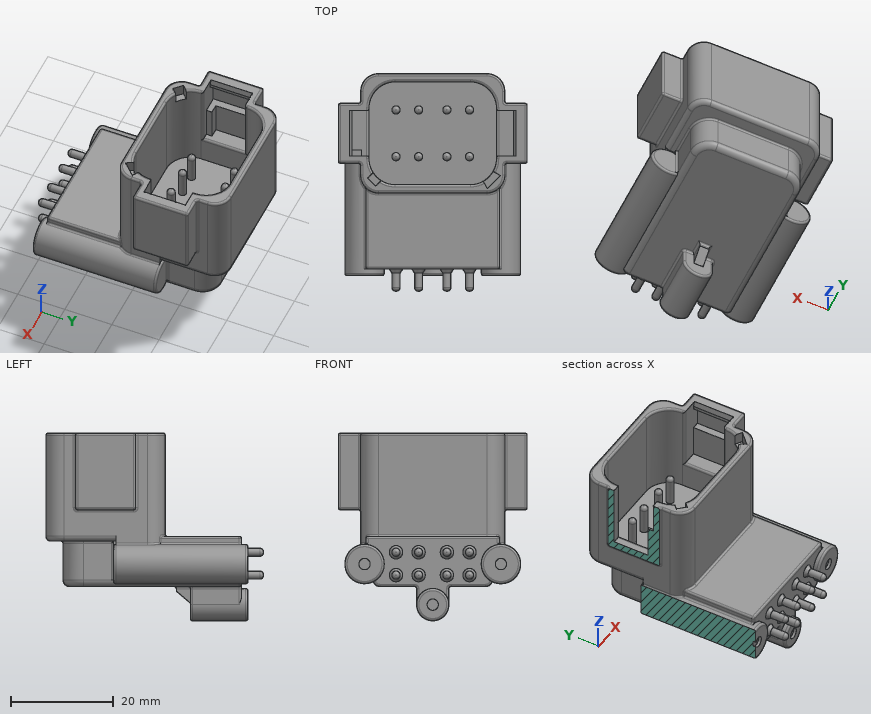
import cadquery as cq
import math


BLEND = 0.45
ROOT_BLEND = 0.4
NEAR = 0.02

SHELL_X = 28.06
SHELL_Y = 23.25
SHELL_CORNER = 3.5
SHELL_DEPTH = 21.05
SHELL_BASE_BLEND = 1.0
CAVITY_X = 24.8
CAVITY_Y = 20.0
CAVITY_CORNER = 5.1
CAVITY_DEPTH = SHELL_DEPTH - 2.0

EAR_SPAN = 36.75
EAR_Y = 11.7
EAR_DEPTH = 14.95
POCKET_Y = 8.8
POCKET_DEPTH = 13.3
POCKET_MOUTH_X = 16.2
POCKET_WALL_X = 15.75
LIP_SLOPE_DEPTH = 0.95
CATCH_TOP = 1.6
CATCH_BOTTOM = 6.45
CATCH_WALL_X = 17.25
KEY_X = 1.85
KEY_Y = 1.2

NOTCH_REACH = 6.5
NOTCH_ROOT = 4.0
NOTCH_DEPTH = 2.35
LEFT_NOTCH_WIDTH = 2.2
LEFT_NOTCH_FLARE = 0.0
RIGHT_NOTCH_WIDTH = 3.55
RIGHT_NOTCH_FLARE = 14.0

FRONT_Y = -26.45
BASE_BACK_Y = 8.3
BASE_X = 23.2
BASE_CORNER = 4.0
BASE_BOTTOM_Z = -29.88
BASE_EDGE = 1.3
PLATE_X = 26.0
PLATE_TOP_Z = -20.1

BOSS_FRONT_Y = -27.7
BOSS_HOLE_RADIUS = 1.1
BOSS_HOLE_DEPTH = 0.6
SIDE_BOSS_X = 13.27
SIDE_BOSS_Z = -25.5
SIDE_BOSS_RADIUS = 3.84
SIDE_BOSS_BACK_Y = -1.55
SKIRT_BACK_Y = SIDE_BOSS_BACK_Y - BLEND
SKIRT_FOOT_Z = (-22, -21.6)
LOWER_BOSS_RADIUS = 3.15
LOWER_BOSS_Z = -36.55 + LOWER_BOSS_RADIUS
LOWER_BOSS_BACK_Y = -16.5
RIB_WIDTH = 2.0
RIB_BACK_Y = -13.75
RIB_HEEL = 0.9
RIB_DROP = 3.25

CONTACT_X = (-7.15, -2.75, 2.75, 7.15)
CONTACT_RADIUS = 0.8
CONTACT_TIP_BLEND = 0.75
CONTACT_EMBED = 1.0
SOCKET_ROW_Y = 4.55
SOCKET_TIP_Z = -12.8
TAIL_ROWS_Z = (-23.2, -27.65)
OVERALL_Y = 42.37
TAIL_TIP_Y = SHELL_Y / 2 - OVERALL_Y
COLLAR_RADIUS = 1.3
COLLAR_LENGTH = 0.75


def block(x_range, y_range, z_range):
    """Axis-aligned box from its limits."""
    return (
        cq.Workplane("XY")
        .box(
            x_range[1] - x_range[0],
            y_range[1] - y_range[0],
            z_range[1] - z_range[0],
            centered=False,
        )
        .translate((x_range[0], y_range[0], z_range[0]))
    )


def span_box(x_limit, y_range, z_range):
    """Selector for edges lying wholly inside a box that is symmetric about X = 0."""
    return cq.selectors.BoxSelector(
        (-x_limit - NEAR, y_range[0] - NEAR, z_range[0] - NEAR),
        (x_limit + NEAR, y_range[1] + NEAR, z_range[1] + NEAR),
        boundingbox=True,
    )


def rod(x, z, radius, front_y, back_y):
    """Cylinder along Y between two Y positions."""
    return (
        cq.Workplane("XZ", origin=(x, back_y, z))
        .circle(radius)
        .extrude(back_y - front_y)
    )


def rounded_prism(size_x, size_y, corner, depth):
    """Rounded rectangle hanging down from the rim plane."""
    return cq.Workplane("XY").rect(size_x, size_y).extrude(-depth).edges("|Z").fillet(corner)


def shell_body():
    """Outer socket shell with its two ears, still solid inside."""
    shell = rounded_prism(SHELL_X, SHELL_Y, SHELL_CORNER, SHELL_DEPTH)
    shell = shell.faces("<Z").edges().fillet(SHELL_BASE_BLEND)
    ears = block((-EAR_SPAN / 2, EAR_SPAN / 2), (-EAR_Y / 2, EAR_Y / 2), (-EAR_DEPTH, 0))
    ears = ears.edges("(<X or >X or <Z) and (not >Z)").fillet(BLEND)
    shell = shell.union(ears)
    for side in (-1, 1):
        root = cq.selectors.BoxSelector(
            (side * SHELL_X / 2 - NEAR, -EAR_Y / 2 - NEAR, -EAR_DEPTH - NEAR),
            (side * SHELL_X / 2 + NEAR, EAR_Y / 2 + NEAR, NEAR),
            boundingbox=True,
        )
        shell = shell.edges(root).fillet(BLEND)
    return shell.faces(">Z").edges().fillet(BLEND)


def socket_cavity():
    """Straight-walled space inside the shell."""
    return rounded_prism(CAVITY_X, CAVITY_Y, CAVITY_CORNER, CAVITY_DEPTH)


def ear_pocket(side):
    """Latch pocket in one ear: sloped lip, undercut catch window and floor."""
    profile = [
        (0, 0),
        (POCKET_MOUTH_X, 0),
        (POCKET_WALL_X, -LIP_SLOPE_DEPTH),
        (POCKET_WALL_X, -CATCH_TOP),
        (CATCH_WALL_X, -CATCH_TOP),
        (CATCH_WALL_X, -CATCH_BOTTOM),
        (POCKET_WALL_X, -CATCH_BOTTOM),
        (POCKET_WALL_X, -POCKET_DEPTH),
        (0, -POCKET_DEPTH),
    ]
    return (
        cq.Workplane("XZ", origin=(0, POCKET_Y / 2, 0))
        .polyline([(side * x, z) for x, z in profile])
        .close()
        .extrude(POCKET_Y)
    )


def pocket_key():
    """Small key in the front corner of the left ear pocket."""
    return block(
        (-POCKET_WALL_X, -POCKET_WALL_X + KEY_X),
        (-POCKET_Y / 2, -POCKET_Y / 2 + KEY_Y),
        (-POCKET_DEPTH, -CATCH_BOTTOM),
    )


def corner_notch(side, width, flare_angle):
    """Diagonal notch through the inside of a front rim corner, widest at its outer wall."""
    narrowing = (NOTCH_REACH - NOTCH_ROOT) * math.tan(math.radians(flare_angle))
    outer_half = width / 2
    inner_half = outer_half - narrowing
    notch = (
        cq.Workplane("XY")
        .polyline(
            [
                (NOTCH_ROOT, -inner_half),
                (NOTCH_REACH, -outer_half),
                (NOTCH_REACH, outer_half),
                (NOTCH_ROOT, inner_half),
            ]
        )
        .close()
        .extrude(-NOTCH_DEPTH)
    )
    heading = -45 if side > 0 else -135
    arc_centre = (side * (CAVITY_X / 2 - CAVITY_CORNER), CAVITY_CORNER - CAVITY_Y / 2, 0)
    return notch.rotate((0, 0, 0), (0, 0, 1), heading).translate(arc_centre)


def base_block():
    """Lower block with rounded rear corners, the wider plate on top and the web below."""
    base = block((-BASE_X / 2, BASE_X / 2), (FRONT_Y, BASE_BACK_Y), (BASE_BOTTOM_Z, PLATE_TOP_Z))
    base = base.edges("|Z and >Y").fillet(BASE_CORNER)
    base = base.edges("<Z and (not <Y)").fillet(BASE_EDGE)
    plate = block(
        (-PLATE_X / 2, PLATE_X / 2),
        (FRONT_Y, SIDE_BOSS_BACK_Y - BLEND),
        (SIDE_BOSS_Z, PLATE_TOP_Z),
    )
    web = block(
        (-LOWER_BOSS_RADIUS, LOWER_BOSS_RADIUS),
        (FRONT_Y, LOWER_BOSS_BACK_Y),
        (LOWER_BOSS_Z, BASE_BOTTOM_Z + BLEND),
    )
    web = web.edges("|Z and >Y").fillet(BLEND)
    base = base.union(plate).union(web).union(boss_rib())
    web_root = span_box(
        LOWER_BOSS_RADIUS,
        (FRONT_Y, RIB_BACK_Y),
        (BASE_BOTTOM_Z, BASE_BOTTOM_Z),
    )
    base = base.edges(web_root).fillet(BLEND)
    return base.faces("<Y").edges("(<Y) and (not <Z)").fillet(BLEND)


def side_boss_core(side):
    """Part of a side boss behind the front face, with its rear end rounded."""
    core = rod(side * SIDE_BOSS_X, SIDE_BOSS_Z, SIDE_BOSS_RADIUS, FRONT_Y, SIDE_BOSS_BACK_Y)
    return core.faces(">Y").edges().fillet(BLEND)


def side_boss(side):
    """Full-length side boss with both ends rounded."""
    boss = rod(side * SIDE_BOSS_X, SIDE_BOSS_Z, SIDE_BOSS_RADIUS, BOSS_FRONT_Y, SIDE_BOSS_BACK_Y)
    return boss.edges("%CIRCLE").fillet(BLEND)


def boss_cove(side):
    """Concave blend between the rear end of a side boss and the side of the base block."""
    cove = (
        cq.Workplane("XY", origin=(side * BASE_X / 2, SIDE_BOSS_BACK_Y, BASE_BOTTOM_Z + BASE_EDGE))
        .moveTo(0, BLEND)
        .radiusArc((side * BLEND, 0), -side * BLEND)
        .lineTo(side * BLEND, -BLEND)
        .lineTo(-side * BLEND, -BLEND)
        .lineTo(-side * BLEND, BLEND)
        .close()
        .extrude(-SHELL_DEPTH - BASE_BOTTOM_Z - BASE_EDGE)
    )
    return cove


def lower_boss():
    """Short boss at the foot of the web."""
    boss = rod(0, LOWER_BOSS_Z, LOWER_BOSS_RADIUS, BOSS_FRONT_Y, LOWER_BOSS_BACK_Y)
    return boss.edges("%CIRCLE").fillet(BLEND)


def boss_rib():
    """Triangular brace behind the lower boss web."""
    root_y = LOWER_BOSS_BACK_Y - 2 * BLEND
    return (
        cq.Workplane("YZ", origin=(-RIB_WIDTH / 2, 0, 0))
        .moveTo(root_y, BASE_BOTTOM_Z + BLEND)
        .lineTo(RIB_BACK_Y, BASE_BOTTOM_Z + BLEND)
        .lineTo(RIB_BACK_Y, BASE_BOTTOM_Z - RIB_HEEL)
        .lineTo(LOWER_BOSS_BACK_Y, BASE_BOTTOM_Z - RIB_DROP)
        .lineTo(root_y, BASE_BOTTOM_Z - RIB_DROP)
        .close()
        .extrude(RIB_WIDTH)
    )


def round_roots(body):
    """Round the plate edges and the inner corners between shell, plate, bosses and base."""
    plate_side = PLATE_X / 2
    boss_contact = PLATE_TOP_Z - SIDE_BOSS_RADIUS / 2
    plate_edges = span_box(plate_side, (FRONT_Y + BLEND, -SHELL_Y / 4), (boss_contact, PLATE_TOP_Z))
    plate_front = span_box(
        plate_side, (FRONT_Y + BLEND, FRONT_Y + BLEND), (boss_contact, PLATE_TOP_Z)
    )
    body = body.edges(plate_edges - plate_front).fillet(ROOT_BLEND)

    skirt_foot = span_box(SHELL_X / 2, (SHELL_CORNER - SHELL_Y / 2, SKIRT_BACK_Y), SKIRT_FOOT_Z)
    body = body.edges(skirt_foot).edges("<X or >X").fillet(ROOT_BLEND)

    base_neck = span_box(BASE_X / 2, (SIDE_BOSS_BACK_Y, BASE_BACK_Y), (-SHELL_DEPTH, -SHELL_DEPTH))
    return body.edges(base_neck).fillet(ROOT_BLEND)


def round_mouth(body):
    """Round the cavity rim and the cavity-side edges of the ear pockets."""
    rim = span_box(CAVITY_X / 2, (-CAVITY_Y / 2, CAVITY_Y / 2), (0, 0))
    pocket_edges = span_box(CAVITY_X / 2, (-POCKET_Y / 2, POCKET_Y / 2), (-POCKET_DEPTH, 0))
    return body.edges(rim + pocket_edges).fillet(BLEND)


def shell_skirt():
    """Front part of the shell carried down onto the side bosses."""
    skirt_depth = -SIDE_BOSS_Z - SIDE_BOSS_RADIUS / 2
    skirt = rounded_prism(SHELL_X, SHELL_Y, SHELL_CORNER, skirt_depth)
    keep = block(
        (-SHELL_X / 2, SHELL_X / 2),
        (-SHELL_Y / 2, SKIRT_BACK_Y),
        (-skirt_depth, -SHELL_DEPTH + SHELL_BASE_BLEND),
    )
    return skirt.intersect(keep)


def socket_contact(x, y):
    """Round-tipped pin standing on the cavity floor."""
    pin = (
        cq.Workplane("XY", origin=(x, y, SOCKET_TIP_Z))
        .circle(CONTACT_RADIUS)
        .extrude(-CAVITY_DEPTH - CONTACT_EMBED - SOCKET_TIP_Z)
    )
    return pin.faces(">Z").edges().fillet(CONTACT_TIP_BLEND)


def tail_contact(x, z):
    """Solder tail with a conical collar where it leaves the front face."""
    tail = rod(x, z, CONTACT_RADIUS, TAIL_TIP_Y, FRONT_Y + CONTACT_EMBED)
    tail = tail.faces("<Y").edges().fillet(CONTACT_TIP_BLEND)
    collar = (
        cq.Workplane("XZ", origin=(x, FRONT_Y, z))
        .circle(COLLAR_RADIUS)
        .workplane(offset=COLLAR_LENGTH)
        .circle(CONTACT_RADIUS)
        .loft()
    )
    return tail.union(collar)


body = shell_body().union(shell_skirt()).union(base_block())
for side in (-1, 1):
    body = body.union(side_boss_core(side))
body = round_roots(body).union(lower_boss())
for side in (-1, 1):
    body = body.union(side_boss(side)).union(boss_cove(side))

body = body.cut(socket_cavity())
for side in (-1, 1):
    body = body.cut(ear_pocket(side))
body = round_mouth(body)
body = body.union(pocket_key())
body = body.cut(corner_notch(-1, LEFT_NOTCH_WIDTH, LEFT_NOTCH_FLARE))
body = body.cut(corner_notch(1, RIGHT_NOTCH_WIDTH, RIGHT_NOTCH_FLARE))

boss_axes = [(-SIDE_BOSS_X, SIDE_BOSS_Z), (SIDE_BOSS_X, SIDE_BOSS_Z), (0, LOWER_BOSS_Z)]
for x, z in boss_axes:
    body = body.cut(rod(x, z, BOSS_HOLE_RADIUS, BOSS_FRONT_Y, BOSS_FRONT_Y + BOSS_HOLE_DEPTH))

for x in CONTACT_X:
    for y in (-SOCKET_ROW_Y, SOCKET_ROW_Y):
        body = body.union(socket_contact(x, y))
    for z in TAIL_ROWS_Z:
        body = body.union(tail_contact(x, z))

result = body